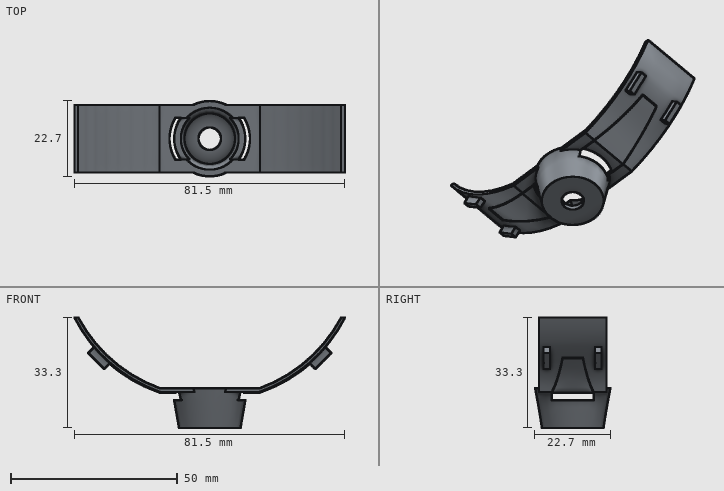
import cadquery as cq
import math

length = 81.45
height = 33.3
band_width = 20.4
arc_center_z = 54.1
band_thickness = 1.05
outer_radius = math.hypot(length / 2, arc_center_z - height)
inner_radius = outer_radius - band_thickness

seat_top = 12.05
seat_thickness = 1.2
seat_bottom = seat_top - seat_thickness

cup_base_radius = 9.3
cup_top_diameter = 22.7
cup_top_radius = cup_top_diameter / 2
cup_wall = 2.0
cup_floor = 1.95
cup_hole_radius = 3.3
cup_slope = (cup_top_radius - cup_base_radius) / seat_top
cavity_floor_radius = cup_base_radius - cup_wall + cup_slope * cup_floor

window_width = 12.55
window_radius = 12.05
window_sill = 8.4

rib_thickness = 0.25
rib_tip_width = 6.1
rib_tip_x = 31.8
rib_root_x = 15.1

peg_length = 6.85
peg_width = 1.95
peg_spacing = 15.5
peg_angle = 45.2
peg_face_radius = 48.1


def arc_x(radius, z):
    """Distance from the Z axis to a band arc at height z."""
    return math.sqrt(radius**2 - (arc_center_z - z) ** 2)


def extrude_across(sketch, width):
    return sketch.extrude(width / 2, both=True)


def make_shell(inner, outer, flat_top, flat_bottom, width):
    """Curved strip with its bottom flattened between two levels."""
    top_end = arc_x(inner, height)
    top_bend = arc_x(inner, flat_top)
    bottom_bend = arc_x(outer, flat_bottom)
    bottom_end = arc_x(outer, height)
    mid_z = (height + flat_top) / 2
    inner_mid = arc_x(inner, mid_z)
    outer_mid = arc_x(outer, mid_z)
    profile = (
        cq.Workplane("XZ")
        .moveTo(-top_end, height)
        .threePointArc((-inner_mid, mid_z), (-top_bend, flat_top))
        .lineTo(top_bend, flat_top)
        .threePointArc((inner_mid, mid_z), (top_end, height))
        .lineTo(bottom_end, height)
        .threePointArc((outer_mid, mid_z), (bottom_bend, flat_bottom))
        .lineTo(-bottom_bend, flat_bottom)
        .threePointArc((-outer_mid, mid_z), (-bottom_end, height))
        .close()
    )
    return extrude_across(profile, width)


def make_ribs():
    """Thin layer under the band, trimmed to a plan that narrows outward."""
    layer = make_shell(
        inner_radius, outer_radius + rib_thickness, seat_top, seat_bottom - rib_thickness, band_width
    )
    right_plan = [
        (rib_root_x, window_width / 2),
        (rib_tip_x, rib_tip_width / 2),
        (rib_tip_x, -rib_tip_width / 2),
        (rib_root_x, -window_width / 2),
    ]
    left_plan = [(-x, -y) for x, y in right_plan]
    plan = cq.Workplane("XY").polyline(right_plan + left_plan).close().extrude(height)
    return layer.intersect(plan)


def make_peg(side, y):
    """Block standing outward from the band, sunk into its thickness."""
    peg_depth = peg_face_radius - (inner_radius + outer_radius) / 2
    block = cq.Workplane("XY").box(peg_length, peg_width, peg_depth, centered=(True, True, False))
    return (
        block.translate((0, y, -peg_face_radius))
        .rotate((0, 0, 0), (0, 1, 0), -side * peg_angle)
        .translate((0, 0, arc_center_z))
    )


def make_cone(bottom_radius, top_radius, bottom, top):
    profile = [(0, bottom), (bottom_radius, bottom), (top_radius, top), (0, top)]
    return cq.Workplane("XZ").polyline(profile).close().revolve(360, (0, 0, 0), (0, 1, 0))


def make_window():
    """Slot across the cup with rounded ends, open through the seat."""
    depth = seat_top - window_sill
    sill = cq.Workplane("XY", origin=(0, 0, window_sill))
    disc = sill.circle(window_radius).extrude(depth)
    slot = sill.rect(2 * window_radius, window_width).extrude(depth)
    return disc.intersect(slot)


band = make_shell(inner_radius, outer_radius, seat_top, seat_bottom, band_width)
result = band.union(make_ribs())
for side in (-1, 1):
    for y in (-peg_spacing / 2, peg_spacing / 2):
        result = result.union(make_peg(side, y))

result = result.union(make_cone(cup_base_radius, cup_top_radius, 0, seat_top))
cavity = make_cone(cavity_floor_radius, cup_top_radius - cup_wall, cup_floor, seat_top)
hole = cq.Workplane("XY").circle(cup_hole_radius).extrude(cup_floor)
result = result.cut(cavity).cut(hole).cut(make_window())